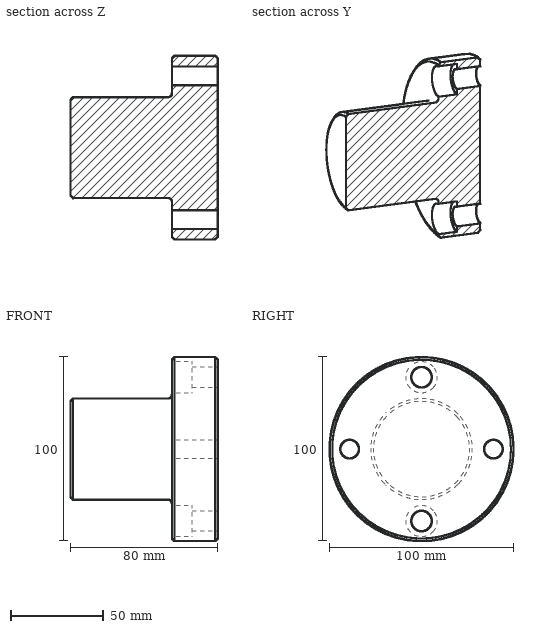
import cadquery as cq

total_length = 80
flange_diameter = 100
flange_thickness = 25
shaft_diameter = 55
shaft_length = total_length - flange_thickness

chamfer_size = 1.5
root_fillet_radius = 2

hole_circle_radius = 39
plain_hole_diameter = 10
bolt_hole_diameter = 11
counterbore_diameter = 17
counterbore_depth = 11


def cylinder_along_x(start_x, length, diameter, y=0, z=0):
    """Solid cylinder running toward +X from start_x."""
    return (
        cq.Workplane("YZ", origin=(start_x, y, z))
        .circle(diameter / 2)
        .extrude(length)
    )


flange = cylinder_along_x(shaft_length, flange_thickness, flange_diameter)
flange = flange.faces("<X or >X").edges().chamfer(chamfer_size)

shaft = cylinder_along_x(0, shaft_length, shaft_diameter)
shaft = shaft.faces("<X").edges().chamfer(chamfer_size)

body = flange.union(shaft)
root_edge = cq.selectors.RadiusNthSelector(0)
body = body.faces(cq.selectors.NearestToPointSelector((shaft_length, hole_circle_radius, 0)))
body = body.edges(root_edge).fillet(root_fillet_radius)

for side in (-1, 1):
    offset = side * hole_circle_radius

    body = body.cut(cylinder_along_x(shaft_length, flange_thickness, plain_hole_diameter, y=offset))

    body = body.cut(cylinder_along_x(shaft_length, flange_thickness, bolt_hole_diameter, z=offset))
    body = body.cut(cylinder_along_x(shaft_length, counterbore_depth, counterbore_diameter, z=offset))

result = body